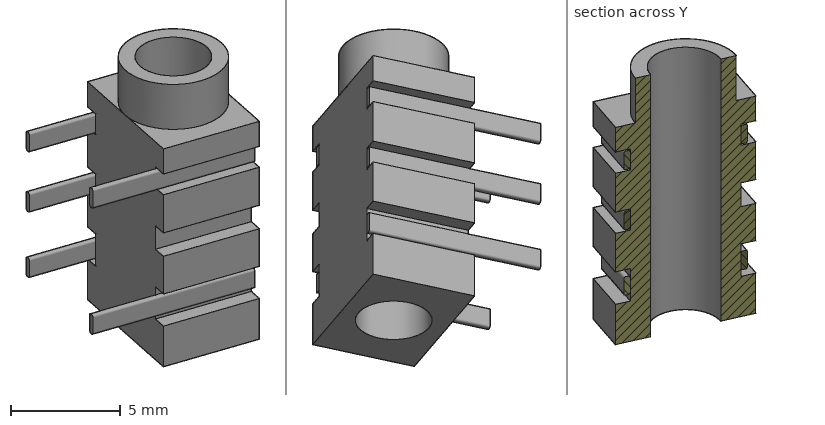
import cadquery as cq

block_width = 7.0
block_depth = 5.05
block_height = 11.52

total_height = 13.9
collar_diameter = block_depth
bore_diameter = 3.5

groove_depth = 0.74
groove_floor_x = block_width / 2 - groove_depth
LEFT = -1
RIGHT = 1

upper_groove_z = 9.65
middle_groove_z = 6.46
lower_groove_z = 3.0
pin_groove_height = 1.1
empty_groove_height = 1.24
lower_groove_height = 1.7

grooves = [
    (LEFT, upper_groove_z, pin_groove_height),
    (LEFT, middle_groove_z, pin_groove_height),
    (LEFT, lower_groove_z, lower_groove_height),
    (RIGHT, upper_groove_z, pin_groove_height),
    (RIGHT, middle_groove_z, empty_groove_height),
    (RIGHT, lower_groove_z, lower_groove_height),
]

pin_thickness = 0.32
pin_height = 1.01
pin_edge_radius = 0.11
pin_projection = 3.46
pin_length = block_depth + pin_projection
lower_right_pin_drop = 0.03

pin_places = [
    (LEFT, upper_groove_z),
    (LEFT, middle_groove_z),
    (LEFT, lower_groove_z),
    (RIGHT, upper_groove_z),
    (RIGHT, lower_groove_z - lower_right_pin_drop),
]


def make_groove_cutter(side, center_z, height):
    """Box that removes one side groove from the block."""
    center_x = side * (groove_floor_x + groove_depth / 2)
    return cq.Workplane("XY").box(groove_depth, block_depth, height).translate((center_x, 0, center_z))


def make_housing():
    """Grooved block with a bored collar on top."""
    block = cq.Workplane("XY").box(block_width, block_depth, block_height, centered=(True, True, False))
    for side, center_z, height in grooves:
        block = block.cut(make_groove_cutter(side, center_z, height))
    collar_height = total_height - block_height
    collar = (
        cq.Workplane("XY", origin=(0, 0, block_height))
        .circle(collar_diameter / 2)
        .extrude(collar_height)
    )
    bore = cq.Workplane("XY").circle(bore_diameter / 2).extrude(total_height)
    return block.union(collar).cut(bore)


def make_pin(side, center_z):
    """Flat pin with rounded long edges, flush with the back of the block."""
    center_x = side * (groove_floor_x + pin_thickness / 2)
    center_y = block_depth / 2 - pin_length / 2
    return (
        cq.Workplane("XY")
        .box(pin_thickness, pin_length, pin_height)
        .edges("|Y")
        .fillet(pin_edge_radius)
        .translate((center_x, center_y, center_z))
    )


housing = make_housing()
pins = [make_pin(side, center_z) for side, center_z in pin_places]

result = cq.Compound.makeCompound([housing.val(), *[pin.val() for pin in pins]])